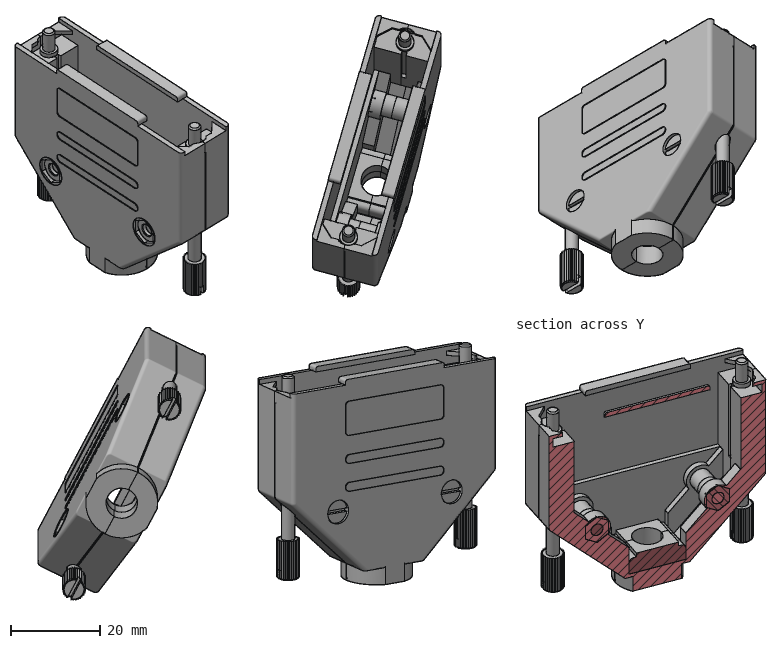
import cadquery as cq
import math

BIG = 100.0

width, depth = 54.0, 15.3
half_w, half_d = width / 2, depth / 2
rim_z = 48.2
end_wall_z = 47.1
shoulder_z = 22.1
base_z = 3.9
collar_r = 8.05
edge_round, shoulder_round, base_round = 0.95, 1.0, 0.35

tab_half_len, tab_top_z, tab_inner_y, tab_round = 13.1, 49.45, 4.75, 0.6

cavity_half_len = 20.7
upper_half_y, lower_half_y = 6.4, 5.26
ledge_z = 25.0
band_front_y, band_back_y = -2.54, 3.8
slope_wall, pad_wall = 1.35, 6.5
band_end_x = 7.18
cable_r = 3.5

flange_floor_z, flange_roof_z = 44.0, 46.1
flange_half_len = 26.0
corner_tip_x, corner_side_x, corner_side_y = 22.5, 25.3, 3.47
flange_screw_r = 2.6
notch_x, notch_back_y = 21.5, 1.0

parting_y = -0.1
tongue_back_y, tongue_inset = 1.0, 0.65
groove_back_y, groove_depth, groove_top_z = 0.15, 0.5, 44.3

panel_len, panel_depth = 26.0, 0.2
panels = [(40.3, 8.0, 0.9), (30.8, 2.1, 1.04), (24.3, 2.1, 1.04)]

bolt_x, bolt_z, bolt_r = 15.05, 18.9, 1.4
boss_r, pad_boss_r = 2.54, 3.45
nut_flats, nut_thick, nut_recess = 5.65, 2.2, 0.9
nut_bore_chamfer = 0.2
nut_entry_r, nut_entry_depth = 3.5, 0.15
bolt_tip_recess, bolt_tip_chamfer = 1.8, 0.2
bolt_head_r, bolt_head_thick, bolt_head_recess = 2.75, 2.0, 0.7
bolt_slot_w, bolt_slot_depth = 0.8, 0.9

thumb_x = 23.5
thread_r, stem_r, stem_hole_r = 1.4, 1.5, 1.7
thumb_top_z, thread_chamfer = 50.2, 0.35
thumb_flange_r, thumb_flange_top_z = 2.0, 45.1
knob_r, knob_bottom_z, knob_top_z, knob_chamfer = 2.6, 3.0, 12.15, 0.4
ridge_count, ridge_depth = 30, 0.3
knob_slot_w, knob_slot_depth = 0.9, 2.2

clamp_half_len, clamp_shoulder_round, clamp_top_half_len = 7.0, 1.0, 5.26
clamp_step_z, clamp_top_z, clamp_split_y = 9.0, 10.0, 0.1

slope_angle = math.atan2(shoulder_z - base_z, half_w - collar_r)


def block(x0, x1, y0, y1, z0, z1):
    return cq.Workplane("XY").box(x1 - x0, y1 - y0, z1 - z0, centered=False).translate((x0, y0, z0))


def slab(points, y0, y1):
    """Closed XZ outline carried from y0 to y1."""
    return cq.Workplane("XZ", origin=(0, y0, 0)).polyline(points).close().extrude(y0 - y1)


def rod_y(x, z, radius, y0, y1):
    return cq.Workplane("XZ", origin=(x, y0, z)).circle(radius).extrude(y0 - y1)


def rod_z(x, radius, z0, z1):
    return cq.Workplane("XY", origin=(x, 0, z0)).circle(radius).extrude(z1 - z0)


def slope_z(x, wall):
    """Height of the surface lying a wall thickness inside the sloping side, at distance x."""
    return base_z + (x - collar_r) * math.tan(slope_angle) + wall / math.cos(slope_angle)


clamp_floor_z = slope_z(band_end_x, slope_wall)


def outline():
    right = [(collar_r, base_z), (half_w, shoulder_z), (half_w, rim_z)]
    return right + [(-x, z) for x, z in reversed(right)]


def hood_outside():
    hood = slab(outline(), -half_d, half_d)
    between_ends = cq.selectors.BoxSelector((-BIG, -BIG, base_z + edge_round), (BIG, BIG, rim_z - edge_round))
    hood = hood.edges("|Y").edges(between_ends).fillet(shoulder_round)
    hood = hood.faces("<Y or >Y").edges(between_ends).fillet(edge_round)
    hood = hood.faces("<Z").edges("|X").fillet(base_round)
    collar = rod_z(0, collar_r, 0, base_z + edge_round)
    collar = collar.intersect(block(-BIG, BIG, -half_d, half_d, 0, rim_z))
    hood = hood.union(collar)
    hood = hood.cut(block(-BIG, BIG, -upper_half_y, upper_half_y, end_wall_z, BIG))
    for side in (-1, 1):
        y0, y1 = sorted((side * tab_inner_y, side * half_d))
        tab = block(-tab_half_len, tab_half_len, y0, y1, rim_z, tab_top_z)
        hood = hood.union(tab.faces(">Z").edges("|Y").fillet(tab_round))
    return hood


def sloped_cavity(y0, y1, wall, floor_half_len):
    right = [(floor_half_len, slope_z(floor_half_len, wall)),
             (cavity_half_len, slope_z(cavity_half_len, wall)),
             (cavity_half_len, BIG)]
    return slab(right + [(-x, z) for x, z in reversed(right)], y0, y1)


def main_cavity():
    cavity = sloped_cavity(-lower_half_y, lower_half_y, pad_wall, clamp_half_len)
    for x in (-bolt_x, bolt_x):
        cavity = cavity.cut(rod_y(x, bolt_z, pad_boss_r, -half_d, half_d))
    cavity = cavity.union(sloped_cavity(band_front_y, band_back_y, slope_wall, band_end_x))
    cavity = cavity.union(block(-clamp_half_len, clamp_half_len, -lower_half_y, lower_half_y,
                                clamp_floor_z, ledge_z))
    cavity = cavity.union(block(-cavity_half_len, cavity_half_len, -upper_half_y, upper_half_y,
                                ledge_z, rim_z))
    for x in (-bolt_x, bolt_x):
        cavity = cavity.cut(rod_y(x, bolt_z, boss_r, -half_d, half_d))
    return cavity.intersect(block(-BIG, BIG, -half_d, half_d, 0, rim_z))


def flange_recess():
    recess = block(-flange_half_len, flange_half_len, -upper_half_y, upper_half_y,
                   flange_floor_z, flange_roof_z)
    corners = [(corner_tip_x, upper_half_y), (corner_side_x, corner_side_y)]
    corners += [(x, -y) for x, y in reversed(corners)]
    corners += [(-x, -y) for x, y in corners]
    mouth = cq.Workplane("XY", origin=(0, 0, flange_roof_z)).polyline(corners).close()
    recess = recess.union(mouth.extrude(rim_z - flange_roof_z))
    for x in (-thumb_x, thumb_x):
        recess = recess.union(rod_z(x, flange_screw_r, flange_floor_z, rim_z))
    return recess


def face_panels():
    cutter = None
    for z, height, corner in panels:
        panel = cq.Workplane("XY").box(panel_len, depth, height).edges("|Y").fillet(corner)
        panel = panel.translate((0, 0, z))
        cutter = panel if cutter is None else cutter.union(panel)
    core = half_d - panel_depth
    return cutter.cut(block(-BIG, BIG, -core, core, 0, BIG))


def hexagon(x, across_flats, y0, y1):
    """Hexagonal bar along Y with two flats facing X."""
    across_corners = across_flats / math.cos(math.pi / 6)
    bar = cq.Workplane("XZ").polygon(6, across_corners).extrude(y0 - y1)
    return bar.rotate((0, 0, 0), (0, 1, 0), 30).translate((x, y0, bolt_z))


nut_front_y = -half_d + nut_recess
nut_back_y = nut_front_y + nut_thick
head_back_y = half_d - bolt_head_recess
head_front_y = head_back_y - bolt_head_thick
bolt_tip_y = -half_d + bolt_tip_recess


def assembly_hole(x):
    hole = rod_y(x, bolt_z, bolt_r, -half_d, half_d)
    hole = hole.union(rod_y(x, bolt_z, nut_entry_r, -half_d, -half_d + nut_entry_depth))
    hole = hole.union(hexagon(x, nut_flats, -half_d, nut_back_y))
    return hole.union(rod_y(x, bolt_z, bolt_head_r, head_front_y, half_d))


def whole_hood():
    hood = hood_outside()
    hood = hood.cut(main_cavity()).cut(flange_recess()).cut(face_panels())
    hood = hood.cut(rod_z(0, cable_r, 0, clamp_top_z))
    for x in (-1, 1):
        hood = hood.cut(assembly_hole(x * bolt_x))
        hood = hood.cut(rod_z(x * thumb_x, stem_hole_r, 0, rim_z))
        x0, x1 = sorted((x * cavity_half_len, x * notch_x))
        hood = hood.cut(block(x0, x1, parting_y, notch_back_y, ledge_z, flange_floor_z))
    return hood


def tongue_space():
    """Strips on the inner part of the sloping walls where the front half laps into the back half."""
    strip = None
    for side in (-1, 1):
        corners = [(side * x, slope_z(x, wall)) for x, wall in (
            (band_end_x, tongue_inset), (cavity_half_len, tongue_inset),
            (cavity_half_len, slope_wall), (band_end_x, slope_wall))]
        piece = slab(corners, parting_y, tongue_back_y)
        strip = piece if strip is None else strip.union(piece)
    return strip


def seam_groove():
    """Narrow groove along the outside of the joint, up to just below the flange recess."""
    right = [(collar_r, 0), (collar_r, base_z), (half_w, shoulder_z), (half_w, rim_z)]
    profile = right + [(-x, z) for x, z in reversed(right)]
    ring = slab(profile, parting_y, groove_back_y)
    core = cq.Workplane("XZ", origin=(0, parting_y, 0)).polyline(profile).close()
    ring = ring.cut(core.offset2D(-groove_depth).extrude(parting_y - groove_back_y))
    return ring.intersect(block(-BIG, BIG, -half_d, half_d, groove_depth, groove_top_z))


hood = whole_hood()
front_space = block(-BIG, BIG, -BIG, parting_y, -BIG, BIG).union(tongue_space())
front_shell = hood.intersect(front_space)
back_shell = hood.cut(front_space).cut(seam_groove())


def clamp_half(y0, y1):
    half = block(-clamp_half_len, clamp_half_len, y0, y1, clamp_floor_z, clamp_step_z)
    half = half.faces(">Z").edges("|Y").fillet(clamp_shoulder_round)
    half = half.union(block(-clamp_top_half_len, clamp_top_half_len, y0, y1, clamp_step_z, clamp_top_z))
    return half.cut(rod_z(0, cable_r, clamp_floor_z, clamp_top_z))


clamps = [clamp_half(-lower_half_y, clamp_split_y), clamp_half(clamp_split_y, lower_half_y)]


def thumbscrew(x):
    ridge_profile = []
    for i in range(ridge_count):
        for step, radius in ((0, knob_r), (0.5, knob_r - ridge_depth)):
            angle = 2 * math.pi * (i + step) / ridge_count
            ridge_profile.append((radius * math.cos(angle), radius * math.sin(angle)))
    knob_len = knob_top_z - knob_bottom_z
    knob = cq.Workplane("XY").polyline(ridge_profile).close().extrude(knob_len)
    envelope = cq.Workplane("XY").circle(knob_r).extrude(knob_len).faces("<Z").chamfer(knob_chamfer)
    knob = knob.intersect(envelope).translate((x, 0, knob_bottom_z))
    slot_half = knob_slot_w / 2
    knob = knob.cut(block(-BIG, BIG, -slot_half, slot_half, knob_bottom_z, knob_bottom_z + knob_slot_depth))
    stem = rod_z(x, stem_r, knob_top_z, flange_floor_z)
    flange = rod_z(x, thumb_flange_r, flange_floor_z, thumb_flange_top_z)
    thread = rod_z(x, thread_r, thumb_flange_top_z, thumb_top_z).faces(">Z").chamfer(thread_chamfer)
    return knob.union(stem).union(flange).union(thread)


def nut(x):
    body = hexagon(x, nut_flats, nut_front_y, nut_back_y)
    cone_end_r = nut_flats / 2 + nut_thick
    cone = cq.Workplane("XZ", origin=(x, nut_front_y, bolt_z)).circle(nut_flats / 2)
    cone = cone.workplane(offset=-nut_thick).circle(cone_end_r).loft()
    body = body.intersect(cone).cut(rod_y(x, bolt_z, bolt_r, nut_front_y, nut_back_y))
    return body.faces("<Y").edges(cq.selectors.RadiusNthSelector(0)).chamfer(nut_bore_chamfer)


def assembly_screw(x):
    screw = rod_y(x, bolt_z, bolt_r, bolt_tip_y, head_front_y).faces("<Y").chamfer(bolt_tip_chamfer)
    screw = screw.union(rod_y(x, bolt_z, bolt_head_r, head_front_y, head_back_y))
    slot_half = bolt_slot_w / 2
    return screw.cut(block(x - bolt_head_r, x + bolt_head_r, head_back_y - bolt_slot_depth, head_back_y,
                           bolt_z - slot_half, bolt_z + slot_half))


thumbscrews = [thumbscrew(x) for x in (-thumb_x, thumb_x)]
nuts = [nut(x) for x in (-bolt_x, bolt_x)]
screws = [assembly_screw(x) for x in (-bolt_x, bolt_x)]

bodies = [front_shell, back_shell, *clamps, *thumbscrews, *nuts, *screws]
result = cq.Compound.makeCompound([solid for body in bodies for solid in body.vals()])